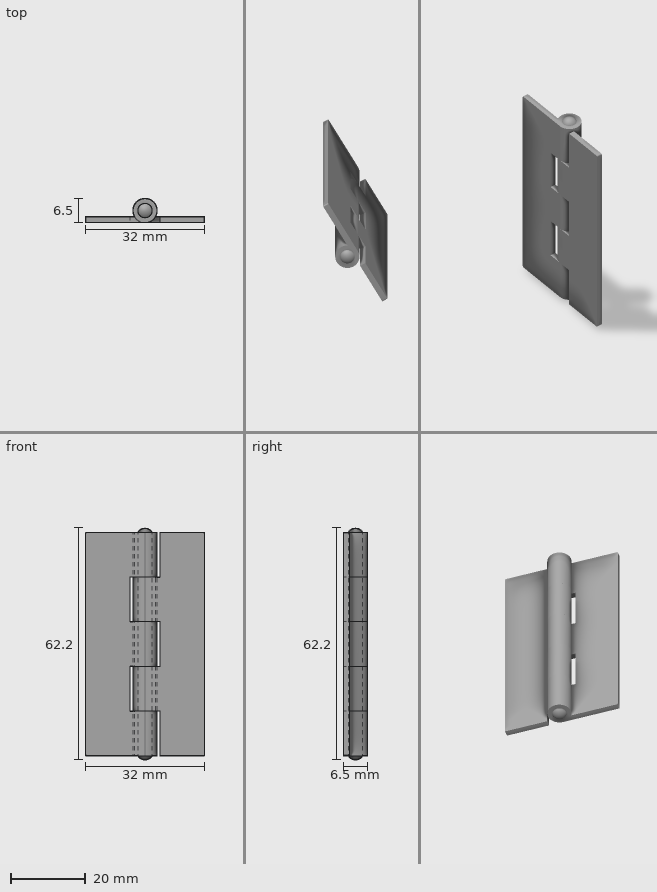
import cadquery as cq
import math

leaf_height = 60.0
hinge_width = 32.0
total_height = 62.2
sheet_thickness = 1.6
barrel_diameter = 6.5
pin_diameter = 3.85
knuckle_count = 5
notch_clearance = 0.75
corner_radius = 0.3

barrel_radius = barrel_diameter / 2
pin_radius = pin_diameter / 2
knuckle_height = leaf_height / knuckle_count
plate_length = hinge_width / 2
notch_depth = barrel_radius + notch_clearance
dome_height = (total_height - leaf_height) / 2


def make_leaf(side, first_knuckle):
    """Leaf on one side of the pin (-1 left, +1 right), with every second knuckle."""
    bottom = -leaf_height / 2

    leaf = (
        cq.Workplane("XY", origin=(0, 0, bottom))
        .moveTo(side * notch_depth, -barrel_radius)
        .lineTo(side * plate_length, -barrel_radius)
        .lineTo(side * plate_length, -barrel_radius + sheet_thickness)
        .lineTo(side * notch_depth, -barrel_radius + sheet_thickness)
        .close()
        .extrude(leaf_height)
    )
    outer_face = ">X" if side > 0 else "<X"
    leaf = leaf.faces(outer_face).edges("|Y").fillet(corner_radius)

    for index in range(first_knuckle, knuckle_count, 2):
        level = cq.Workplane("XY", origin=(0, 0, bottom + index * knuckle_height))
        strip = (
            level.center(side * notch_depth / 2, -barrel_radius + sheet_thickness / 2)
            .rect(notch_depth, sheet_thickness)
            .extrude(knuckle_height)
        )
        barrel = level.circle(barrel_radius).extrude(knuckle_height)
        leaf = leaf.union(strip).union(barrel)

    pin_hole = cq.Workplane("XY", origin=(0, 0, bottom)).circle(pin_radius).extrude(leaf_height)
    return leaf.cut(pin_hole)


def make_pin():
    """Round pin through all knuckles, with a shallow spherical dome at each end."""
    shank_end = leaf_height / 2
    pin_end = total_height / 2
    dome_radius = (pin_radius**2 + dome_height**2) / (2 * dome_height)
    half_angle = math.asin(pin_radius / dome_radius) / 2
    arc_x = dome_radius * math.sin(half_angle)
    arc_z = pin_end - dome_radius * (1 - math.cos(half_angle))
    return (
        cq.Workplane("XZ")
        .moveTo(0, -pin_end)
        .threePointArc((arc_x, -arc_z), (pin_radius, -shank_end))
        .lineTo(pin_radius, shank_end)
        .threePointArc((arc_x, arc_z), (0, pin_end))
        .close()
        .revolve(360, (0, 0, 0), (0, 1, 0))
    )


left_leaf = make_leaf(-1, 0)
right_leaf = make_leaf(1, 1)
pin = make_pin()

result = cq.Compound.makeCompound([left_leaf.val(), right_leaf.val(), pin.val()])